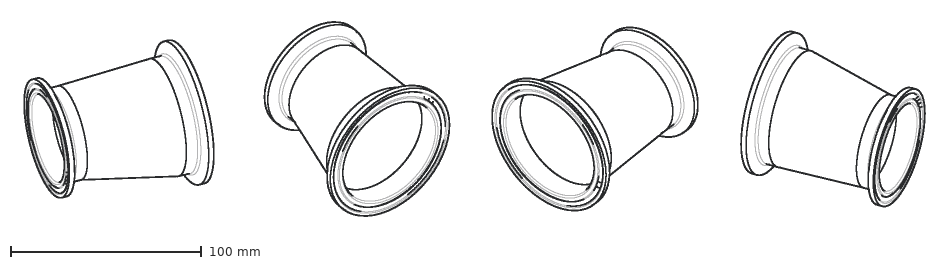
import cadquery as cq
import math

length = 76.2
large_flange_radius = 38.7
small_flange_radius = 32.0
large_tube_radius = 31.7
small_tube_radius = 25.4
wall = 1.6
axis_offset = large_tube_radius - small_tube_radius

ferrule_length = 12.8
rim_thickness = 2.95
back_slope = math.radians(20)
neck_fillet = 1.5
mouth_fillet = 0.9
groove_inset = 3.8
groove_half_width = 1.4
groove_depth = 1.4
groove_edge_fillet = 0.6


def round_circle(body, radius, y, fillet_radius):
    """Round the circular edge of the given radius that lies at position y along the Y axis."""
    tolerance = 0.01
    edges = [
        edge
        for edge in body.edges("%CIRCLE").vals()
        if abs(edge.radius() - radius) < tolerance and abs(edge.Center().y - y) < tolerance
    ]
    return body.newObject(edges).fillet(fillet_radius)


def ferrule(flange_radius, tube_radius):
    """Clamp ferrule about the Y axis, with its sealing face on Y = 0."""
    bore_radius = tube_radius - wall
    groove_radius = flange_radius - groove_inset
    neck_start = rim_thickness + (flange_radius - tube_radius) * math.tan(back_slope)

    body = (
        cq.Workplane("XY")
        .moveTo(bore_radius, 0)
        .lineTo(groove_radius - groove_half_width, 0)
        .threePointArc((groove_radius, groove_depth), (groove_radius + groove_half_width, 0))
        .lineTo(flange_radius, 0)
        .lineTo(flange_radius, rim_thickness)
        .lineTo(tube_radius, neck_start)
        .lineTo(tube_radius, ferrule_length)
        .lineTo(bore_radius, ferrule_length)
        .close()
        .revolve(360, (0, 0, 0), (0, 1, 0))
    )
    body = round_circle(body, tube_radius, neck_start, neck_fillet)
    body = round_circle(body, bore_radius, 0, mouth_fillet)
    for side in (-1, 1):
        groove_edge = groove_radius + side * groove_half_width
        body = round_circle(body, groove_edge, 0, groove_edge_fillet)
    return body


def reducer_cone(small_radius, large_radius):
    """Solid oblique cone between the ferrules, with the small end off-centre."""
    cone_length = length - 2 * ferrule_length
    return (
        cq.Workplane("XZ", origin=(0, ferrule_length, 0))
        .center(-axis_offset, 0)
        .circle(small_radius)
        .workplane(offset=-cone_length)
        .center(axis_offset, 0)
        .circle(large_radius)
        .loft(ruled=True)
    )


small_ferrule = ferrule(small_flange_radius, small_tube_radius).translate((-axis_offset, 0, 0))

large_ferrule = (
    ferrule(large_flange_radius, large_tube_radius)
    .rotate((0, 0, 0), (0, 0, 1), 180)
    .translate((0, length, 0))
)

reducer = reducer_cone(small_tube_radius, large_tube_radius).cut(
    reducer_cone(small_tube_radius - wall, large_tube_radius - wall)
)

result = cq.Compound.makeCompound([small_ferrule.val(), large_ferrule.val(), reducer.val()])